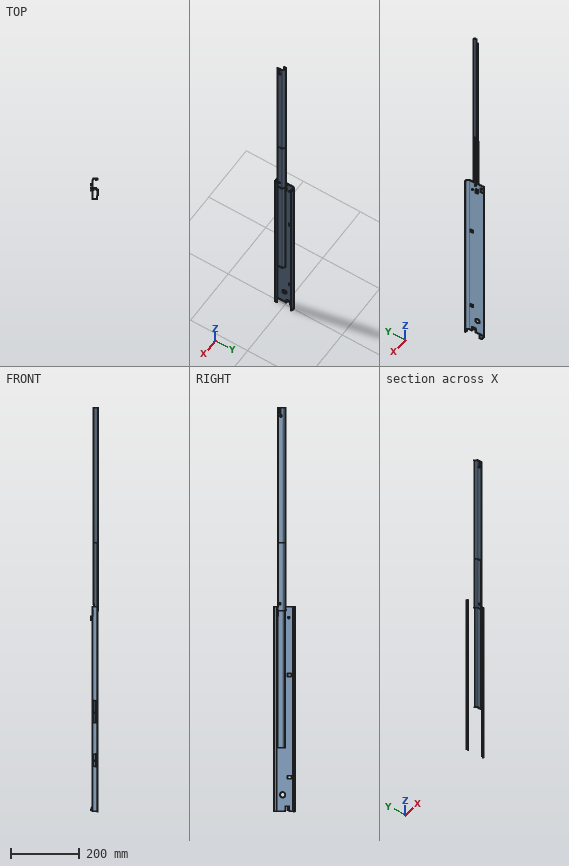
import cadquery as cq
import math

TOTAL_WIDTH = 21.79
TOTAL_DEPTH = 62.55
TOTAL_HEIGHT = 1184.99
X_MAX = TOTAL_WIDTH / 2
X_MIN = -X_MAX
Y_MAX = TOTAL_DEPTH / 2
Y_MIN = -Y_MAX
Z_MAX = TOTAL_HEIGHT / 2
Z_MIN = -Z_MAX

SHEET = 1.5
BEND_RADIUS = 1.0
CUT_MARGIN = 1.0

HOUSING_LENGTH = 600.0
TONGUE_LENGTH = 1.8
TONGUE_WIDTH = 1.4
HOUSING_BOTTOM = Z_MIN + TONGUE_LENGTH
HOUSING_TOP = HOUSING_BOTTOM + HOUSING_LENGTH
WEB_X = -6.8
WEB_TOP_Y = 25.0
CURL_START_X = -2.5
CURL_X = 9.0
CURL_LOWER_Y = 27.0
CURL_END_X = 4.0
CURL_END_Y = 24.5
LOWER_LIP_X = 8.5
LOWER_LIP_Y = -22.0
LOWER_BEND_RADIUS = 1.5

RAIL_BOTTOM = -2.5
RAIL_LEG_X = -3.4
RAIL_LEG_Y = -4.5
RAIL_TOP_Y = 3.4
RAIL_SHOULDER_X = 4.0
RAIL_SHOULDER_Y = -4.0
RAIL_WALL_END_Y = -19.6

RUNNER_LENGTH = 600.0
RUNNER_TOP = 196.0
RUNNER_GAP = 0.3


def offset_path(points, distance):
    """Shift an open path to its right-hand side, with mitred corners."""
    normals = []
    for (x0, y0), (x1, y1) in zip(points, points[1:]):
        length = math.hypot(x1 - x0, y1 - y0)
        normals.append(((y1 - y0) / length, (x0 - x1) / length))
    before = [normals[0]] + normals
    after = normals + [normals[-1]]
    shifted = []
    for (x, y), (ax, ay), (bx, by) in zip(points, before, after):
        stretch = distance / (1 + ax * bx + ay * by)
        shifted.append((x + stretch * (ax + bx), y + stretch * (ay + by)))
    return shifted


def bent_sheet(outer_path, bend_radii, bottom, top):
    """Upright folded sheet whose outer face follows a clockwise path; radii are inside ones."""
    inner_path = offset_path(outer_path, SHEET)
    sheet = (
        cq.Workplane("XY", origin=(0, 0, bottom))
        .polyline(outer_path + inner_path[::-1])
        .close()
        .extrude(top - bottom)
    )
    middle = (bottom + top) / 2
    for path, extra in ((inner_path, 0), (outer_path, SHEET)):
        for (x, y), radius in zip(path[1:-1], bend_radii):
            corner = cq.selectors.NearestToPointSelector((x, y, middle))
            sheet = sheet.edges("|Z").edges(corner).fillet(radius + extra)
    return sheet


def block(x_range, y_range, z_range):
    """Box given by its lower and upper limit along each axis."""
    limits = (x_range, y_range, z_range)
    size = [high - low for low, high in limits]
    corner = [low for low, high in limits]
    return cq.Workplane("XY").box(*size, centered=False).translate(tuple(corner))


def cross_hole(x_start, x_end, y, z, diameter):
    """Cylinder along X used to drill through a wall."""
    return (
        cq.Workplane("YZ", origin=(x_start, y, z))
        .circle(diameter / 2)
        .extrude(x_end - x_start)
    )


WEB_INNER_X = WEB_X + SHEET
WEB_CUT_X = (WEB_X - CUT_MARGIN, WEB_INNER_X + CUT_MARGIN)

SLOT_Y = (9.5, 19.5)
SLOT_HEIGHT = 8.0
SLOT_CENTRES_Z = (-191.5, -491.0)

MOUNT_HOLE = (-5.4, -542.2, 15.0)
SMALL_HOLES = ((12.5, -23.2, 4.0), (1.8, -0.5, 4.0))

WEB_WINDOW_Y = (-28.0, -16.5)
WEB_WINDOW_Z = (-17.0, -2.0)

FLANGE_WINDOW_X = (-3.0, 4.0)
FLANGE_BRIDGE = 3.0
FLANGE_WINDOW_PAIRS = ((-331.0, -300.0, -266.0), (-459.0, -441.0, -423.0))

BRACKET_Y = (-5.5, 2.5)
BRACKET_Z = (-31.0, -19.0)
BRACKET_CHEEK = 1.3
BRACKET_FLOOR = 2.0

NOTCH_Y = (1.5, 14.0)
NOTCH_TOP = -576.0
FLARE_BOTTOM = -588.0
FLARES_Y = ((1.5, 4.0), (10.0, 14.0))


def grooved_bracket():
    y_low, y_high = BRACKET_Y
    bracket = block((X_MIN, WEB_X), BRACKET_Y, BRACKET_Z)
    groove_y = (y_low + BRACKET_CHEEK, y_high - BRACKET_CHEEK)
    return bracket.cut(block((X_MIN, WEB_X - BRACKET_FLOOR), groove_y, BRACKET_Z))


def flared_tongue(y_range):
    """Strip that leaves the web at the notch and leans outward to its lower end."""
    y_low, y_high = y_range
    outline = [
        (WEB_X, NOTCH_TOP),
        (WEB_INNER_X, NOTCH_TOP),
        (X_MIN + SHEET, FLARE_BOTTOM),
        (X_MIN, FLARE_BOTTOM),
    ]
    return (
        cq.Workplane("XZ", origin=(0, y_high, 0))
        .polyline(outline)
        .close()
        .extrude(y_high - y_low)
    )


def make_housing():
    path = [
        (LOWER_LIP_X, LOWER_LIP_Y),
        (LOWER_LIP_X, Y_MIN),
        (WEB_X, Y_MIN),
        (WEB_X, WEB_TOP_Y),
        (CURL_START_X, Y_MAX),
        (CURL_X, Y_MAX),
        (CURL_X, CURL_LOWER_Y),
        (CURL_END_X, CURL_END_Y),
    ]
    upper_bends = len(path) - 4
    bend_radii = [LOWER_BEND_RADIUS] * 2 + [BEND_RADIUS] * upper_bends
    body = bent_sheet(path, bend_radii, HOUSING_BOTTOM, HOUSING_TOP)

    for z in SLOT_CENTRES_Z:
        body = body.cut(block(WEB_CUT_X, SLOT_Y, (z - SLOT_HEIGHT / 2, z + SLOT_HEIGHT / 2)))
    for y, z, diameter in SMALL_HOLES:
        body = body.cut(cross_hole(*WEB_CUT_X, y, z, diameter))
    body = body.cut(cross_hole(*WEB_CUT_X, *MOUNT_HOLE))

    body = body.cut(block(WEB_CUT_X, WEB_WINDOW_Y, WEB_WINDOW_Z))
    flange_cut_y = (Y_MIN - CUT_MARGIN, Y_MIN + SHEET + CUT_MARGIN)
    for low, bridge_top, high in FLANGE_WINDOW_PAIRS:
        for z_range in ((low, bridge_top - FLANGE_BRIDGE), (bridge_top, high)):
            body = body.cut(block(FLANGE_WINDOW_X, flange_cut_y, z_range))

    body = body.cut(block(WEB_CUT_X, NOTCH_Y, (HOUSING_BOTTOM - CUT_MARGIN, NOTCH_TOP)))
    for y_range in FLARES_Y:
        body = body.union(flared_tongue(y_range))
    body = body.union(grooved_bracket())

    tongue_x = (CURL_X - SHEET, CURL_X)
    tongue_y = (CURL_LOWER_Y, CURL_LOWER_Y + TONGUE_WIDTH)
    return body.union(block(tongue_x, tongue_y, (Z_MIN, HOUSING_BOTTOM)))


RAIL_PATH = [
    (RAIL_LEG_X, RAIL_LEG_Y),
    (RAIL_LEG_X, RAIL_TOP_Y),
    (RAIL_SHOULDER_X, RAIL_TOP_Y),
    (X_MAX, RAIL_SHOULDER_Y),
    (X_MAX, RAIL_WALL_END_Y),
]
WALL_CUT_X = (X_MAX - SHEET - CUT_MARGIN, X_MAX + CUT_MARGIN)

END_SLOT_Y = (-13.2, -11.5)
END_SLOT_Z = (574.5, 588.0)
RAIL_HOLE = (-10.7, 568.0, 5.0)
RUNNER_HOLE = (-14.0, 17.8, 6.0)
RUNNER_OUTER_X = X_MAX - SHEET - RUNNER_GAP
RUNNER_CUT_X = (RUNNER_OUTER_X - SHEET - CUT_MARGIN, RUNNER_OUTER_X + CUT_MARGIN)
LEG_RELIEF_TOP = 16.0


def make_rail():
    body = bent_sheet(RAIL_PATH, [BEND_RADIUS] * 3, RAIL_BOTTOM, Z_MAX)
    body = body.cut(block(WALL_CUT_X, END_SLOT_Y, END_SLOT_Z))
    body = body.cut(cross_hole(*WALL_CUT_X, *RAIL_HOLE))
    relief_x = (RAIL_LEG_X - CUT_MARGIN, RAIL_LEG_X + SHEET + BEND_RADIUS)
    relief_y = (RAIL_LEG_Y - CUT_MARGIN, RAIL_TOP_Y + CUT_MARGIN)
    return body.cut(block(relief_x, relief_y, (RAIL_BOTTOM - CUT_MARGIN, LEG_RELIEF_TOP)))


def make_runner():
    path = offset_path(RAIL_PATH, SHEET + RUNNER_GAP)[1:]
    body = bent_sheet(path, [BEND_RADIUS] * 2, RUNNER_TOP - RUNNER_LENGTH, RUNNER_TOP)
    return body.cut(cross_hole(*RUNNER_CUT_X, *RUNNER_HOLE))


housing = make_housing()
rail = make_rail()
runner = make_runner()

result = cq.Compound.makeCompound([housing.val(), rail.val(), runner.val()])